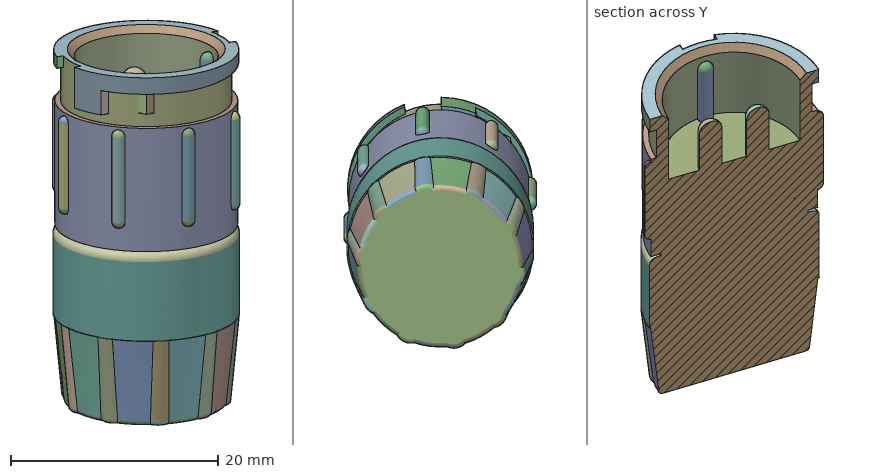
import cadquery as cq
import math

TOTAL_HEIGHT = 35.63
GRIP_TOP = 8.9
NUT_TOP = 17.75
SLEEVE_BOTTOM = 17.95
SLEEVE_TOP = 30.45
FLANGE_THICKNESS = 1.67
FLANGE_BOTTOM = TOTAL_HEIGHT - FLANGE_THICKNESS

GROOVE_RADIUS = 7.8
NUT_RADIUS = 9.0
NUT_FILLET = 0.82
SLEEVE_RADIUS = 8.85
NECK_RADIUS = 8.25
FLANGE_RADIUS = 8.95

GRIP_TOP_RADIUS = 8.87
GRIP_BOTTOM_RADIUS = 7.95
GRIP_FILLET = 0.43
RIDGE_COUNT = 10
RIDGE_RADIUS = 1.5
RIDGE_CREST_TOP = 9.05
RIDGE_CREST_BOTTOM = 8.2

OVERALL_WIDTH = 18.92
RIB_COUNT = 8
RIB_RADIUS = 0.68
RIB_AXIS_RADIUS = OVERALL_WIDTH / 2 - RIB_RADIUS
RIB_BOTTOM = 20.88
RIB_TOP = 29.5

NOTCH_HALF_WIDTH = 1.8
RAMP_RISE = 0.5
LUG_FAR_SIDE = 4.9
LUG_BOTTOM = 31.5
DETENT_BOTTOM = 31.8
DETENT_FACE_X = 7.65
DETENT_RIDGE_Y = -3.92
DETENT_END_X = 6.9
DETENT_END_Y = -4.5

BORE_RADIUS = 6.95
BORE_CHAMFER = 0.68
BORE_FLOOR = 27.25
PIN_RADIUS = 1.2
PIN_OFFSET = 2.5
PIN_DOME_BASE = 31.8
KEY_RADIUS = 0.8
KEY_AXIS_Y = 6.75
KEY_DOME_BASE = 33.53

CLEARANCE = 0.7


def disc(radius, bottom, top):
    return cq.Workplane("XY").workplane(offset=bottom).circle(radius).extrude(top - bottom)


def block(x_min, x_max, y_min, y_max, z_min, z_max):
    size = (x_max - x_min, y_max - y_min, z_max - z_min)
    return cq.Workplane("XY").box(*size, centered=False).translate((x_min, y_min, z_min))


def half_turn(shape):
    return shape.rotate((0, 0, 0), (0, 0, 1), 180)


def domed_pin(x, y, radius, bottom, dome_base):
    dome = cq.Workplane("XY").sphere(radius).translate((x, y, dome_base))
    return disc(radius, bottom, dome_base).translate((x, y, 0)).union(dome)


def make_grip():
    cone = cq.Workplane("XY").add(
        cq.Solid.makeCone(GRIP_BOTTOM_RADIUS, GRIP_TOP_RADIUS, GRIP_TOP)
    )
    lean = (RIDGE_CREST_TOP - RIDGE_CREST_BOTTOM) / GRIP_TOP
    start = cq.Vector(RIDGE_CREST_BOTTOM - RIDGE_RADIUS - CLEARANCE * lean, 0, -CLEARANCE)
    length = (GRIP_TOP + 2 * CLEARANCE) * math.hypot(1, lean)
    bar = cq.Workplane("XY").add(
        cq.Solid.makeCylinder(RIDGE_RADIUS, length, start, cq.Vector(lean, 0, 1))
    )
    ridge = bar.intersect(disc(OVERALL_WIDTH, 0, GRIP_TOP))
    grip = cone
    for index in range(RIDGE_COUNT):
        angle = 90 + index * 360 / RIDGE_COUNT
        grip = grip.union(ridge.rotate((0, 0, 0), (0, 0, 1), angle))
    return grip.faces("<Z").edges().fillet(GRIP_FILLET)


def make_nut():
    return disc(NUT_RADIUS, GRIP_TOP, NUT_TOP).faces(">Z").edges().fillet(NUT_FILLET)


def make_sleeve():
    sleeve = disc(SLEEVE_RADIUS, SLEEVE_BOTTOM, SLEEVE_TOP)
    rib = domed_pin(RIB_AXIS_RADIUS, 0, RIB_RADIUS, RIB_BOTTOM, RIB_TOP)
    lower_dome = cq.Workplane("XY").sphere(RIB_RADIUS).translate((RIB_AXIS_RADIUS, 0, RIB_BOTTOM))
    rib = rib.union(lower_dome)
    for index in range(RIB_COUNT):
        sleeve = sleeve.union(rib.rotate((0, 0, 0), (0, 0, 1), index * 360 / RIB_COUNT))
    return sleeve


def make_ramp_cut():
    """Wedge below the flange, rising from the -X side to the notch on the -Y side."""
    ramp_angle = 90 - math.degrees(math.asin(NOTCH_HALF_WIDTH / FLANGE_RADIUS))
    path = cq.Wire.makeHelix(
        pitch=RAMP_RISE * 360 / ramp_angle, height=RAMP_RISE, radius=NECK_RADIUS
    )
    width = 2 * (FLANGE_RADIUS + CLEARANCE - NECK_RADIUS)
    wedge = (
        cq.Workplane("XZ")
        .center(NECK_RADIUS, -CLEARANCE / 2)
        .rect(width, CLEARANCE)
        .sweep(cq.Workplane("XY").add(path), isFrenet=True)
    )
    return half_turn(wedge.translate((0, 0, FLANGE_BOTTOM)))


def make_bayonet():
    flange = disc(FLANGE_RADIUS, FLANGE_BOTTOM, TOTAL_HEIGHT)
    outer = disc(FLANGE_RADIUS, LUG_BOTTOM, TOTAL_HEIGHT)
    neck = disc(NECK_RADIUS, SLEEVE_TOP, TOTAL_HEIGHT)
    notch = block(
        -NOTCH_HALF_WIDTH, NOTCH_HALF_WIDTH, -FLANGE_RADIUS - CLEARANCE, 0,
        FLANGE_BOTTOM - CLEARANCE, TOTAL_HEIGHT + CLEARANCE,
    )
    lug = outer.intersect(
        block(NOTCH_HALF_WIDTH, LUG_FAR_SIDE, -FLANGE_RADIUS, 0, LUG_BOTTOM, TOTAL_HEIGHT)
    )
    detent = (
        cq.Workplane("XY")
        .workplane(offset=DETENT_BOTTOM)
        .lineTo(DETENT_END_X, DETENT_END_Y)
        .lineTo(DETENT_FACE_X, DETENT_RIDGE_Y)
        .lineTo(DETENT_FACE_X, 0)
        .close()
        .extrude(FLANGE_BOTTOM - DETENT_BOTTOM)
    )
    ramp_cut = make_ramp_cut()
    for cutter in (notch, ramp_cut):
        flange = flange.cut(cutter).cut(half_turn(cutter))
    bayonet = flange.union(neck)
    for stop in (lug, detent):
        bayonet = bayonet.union(stop).union(half_turn(stop))
    return bayonet


def make_bore():
    bore = disc(BORE_RADIUS, BORE_FLOOR, TOTAL_HEIGHT)
    mouth = cq.Workplane("XY").add(
        cq.Solid.makeCone(
            BORE_RADIUS, BORE_RADIUS + BORE_CHAMFER, BORE_CHAMFER,
            cq.Vector(0, 0, TOTAL_HEIGHT - BORE_CHAMFER),
        )
    )
    return bore.union(mouth)


result = make_grip().union(make_nut())
result = result.union(disc(GROOVE_RADIUS, NUT_TOP, SLEEVE_BOTTOM))
result = result.union(make_sleeve()).union(make_bayonet())
result = result.cut(make_bore())

for pin_x in (-PIN_OFFSET, PIN_OFFSET):
    result = result.union(domed_pin(pin_x, 0, PIN_RADIUS, BORE_FLOOR, PIN_DOME_BASE))
result = result.union(domed_pin(0, KEY_AXIS_Y, KEY_RADIUS, BORE_FLOOR, KEY_DOME_BASE))